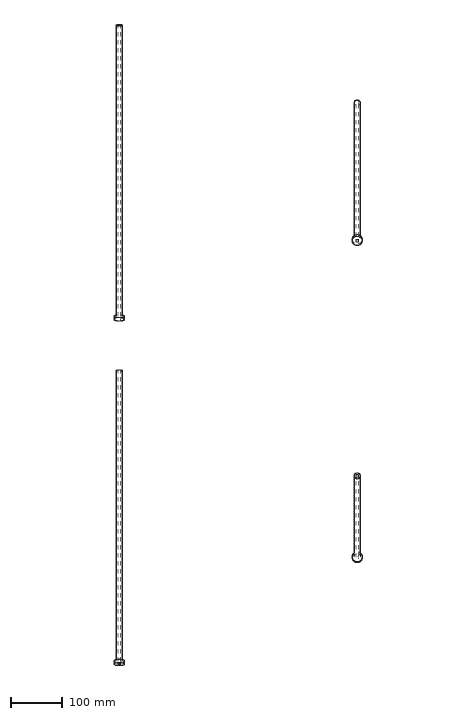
import cadquery as cq

total_length = 600.0
head_diameter = 20.0
head_height = 7.0
shaft_diameter = 12.0
bore_diameter = 5.5
neck_fillet_radius = 0.8


def sleeve_body():
    """Round head resting on Z = 0 with the long shaft rising from it."""
    head = cq.Workplane("XY").circle(head_diameter / 2).extrude(head_height)
    shaft = cq.Workplane("XY").circle(shaft_diameter / 2).extrude(total_length)
    return head.union(shaft)


def round_neck(body):
    """Fillet the inner corner where the shaft meets the top of the head."""
    margin = neck_fillet_radius
    reach = shaft_diameter / 2 + margin
    corner = cq.selectors.BoxSelector(
        (-reach, -reach, head_height - margin),
        (reach, reach, head_height + margin),
        boundingbox=True,
    )
    return body.edges(corner).fillet(neck_fillet_radius)


def bore_through(body):
    """Cut the central hole along the full length."""
    bore = cq.Workplane("XY").circle(bore_diameter / 2).extrude(total_length)
    return body.cut(bore)


result = bore_through(round_neck(sleeve_body()))